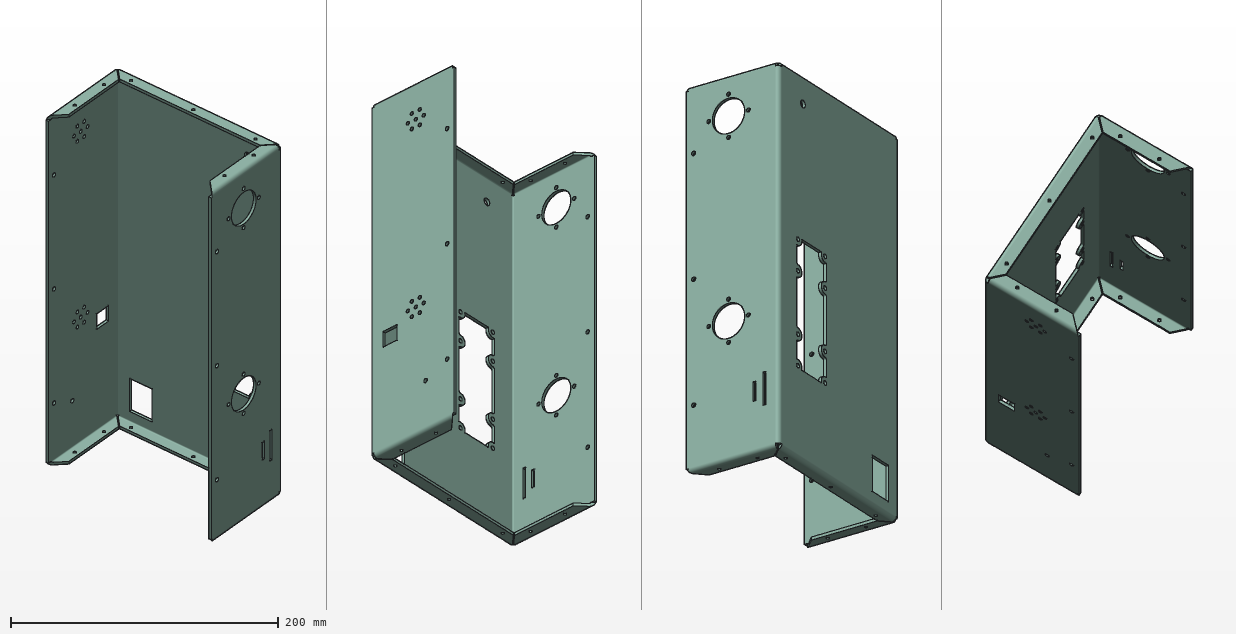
import cadquery as cq
import math

width = 160.0
depth = 84.0
height = 320.0
half_width = width / 2
half_depth = depth / 2
half_height = height / 2

thickness = 2.5
inner_bend_radius = 1.0
outer_bend_radius = inner_bend_radius + thickness
flange_width = 12.0
flange_setback = 1.0
miter_gap = 0.8

cut_reach = 2 * thickness

flange_hole_diameter = 2.45
flange_hole_inset = 7.7
back_flange_hole_pitch = 60.0
side_flange_hole_pitch = 34.5

cable_hole_diameter = 6.0
cable_hole_x = 48.3
cable_hole_z = 136.3
window_width = 21.8
window_height = 30.0
window_x = -55.0
window_z = -133.0
cutout_width = 39.5
cutout_height = 108.5
cutout_x = 36.8
cutout_z = -30.7
pad_radius = 5.0
pad_root_radius = 1.5
pad_hole_diameter = 3.5
pad_column_pitch = 36.0
middle_pad_offset = 26.2
end_pad_offset = 52.5

cover_hole_diameter = 3.5
cover_hole_inset = 6.7
cover_hole_pitch = 104.3
cover_hole_z = -0.5

speaker_y = -4.0
speaker_heights = (126.5, -43.5)
sound_hole_diameter = 3.0
sound_hole_pitch = 8.0
speaker_diameter = 29.0
speaker_screw_diameter = 3.2
speaker_screw_radius = 18.0

square_size = 14.0
square_y = 22.0
square_z = -58.0
button_hole_diameter = 3.5
button_y = -13.8
button_z = -114.5

slot_width = 2.5
slot_z = -108.0
long_slot_y = 28.5
long_slot_height = 27.5
short_slot_y = 19.5
short_slot_height = 16.0


def rounded_block(inset, bend_radius):
    """Block inset from the envelope except at the front, with all but its front edges rounded."""
    block = cq.Workplane("XY").box(width - 2 * inset, depth - inset, height - 2 * inset)
    block = block.translate((0, -inset / 2, 0))
    return block.edges("not <Y").fillet(bend_radius)


def drill(start, direction, diameter):
    """Cylinder through one panel, starting inside the enclosure."""
    cylinder = cq.Solid.makeCylinder(diameter / 2, 2 * cut_reach, cq.Vector(*start), cq.Vector(*direction))
    return cq.Workplane(cylinder)


def back_drill(x, z, diameter):
    return drill((x, half_depth - cut_reach, z), (0, 1, 0), diameter)


def wall_drill(side, y, z, diameter):
    """Hole cutter for the -X wall (side = -1) or the +X wall (side = 1)."""
    return drill((side * (half_width - cut_reach), y, z), (side, 0, 0), diameter)


def back_block(x, z, size_x, size_z):
    return cq.Workplane("XY").box(size_x, 2 * cut_reach, size_z).translate((x, half_depth, z))


def wall_block(side, y, z, size_y, size_z):
    return cq.Workplane("XY").box(2 * cut_reach, size_y, size_z).translate((side * half_width, y, z))


def ring_points(centre_y, centre_z, radius, count):
    """Evenly spaced (y, z) points on a circle, the first one towards +Y."""
    angles = [2 * math.pi * i / count for i in range(count)]
    return [(centre_y + radius * math.cos(a), centre_z + radius * math.sin(a)) for a in angles]


def flange_opening():
    """Opening between the flanges, widening at 45 degrees towards the front."""
    inner_x = half_width - flange_width
    start_y = -half_depth + flange_setback
    outline = [
        (-inner_x, half_depth - flange_width),
        (inner_x, half_depth - flange_width),
        (inner_x, start_y + flange_width),
        (half_width, start_y),
        (half_width, -half_depth),
        (-half_width, -half_depth),
        (-half_width, start_y),
        (-inner_x, start_y + flange_width),
    ]
    return cq.Workplane("XY").polyline(outline).close().extrude(outer_bend_radius)


def miter_slit(side):
    """Thin 45 degree slit between the back flange and a side flange."""
    length = 2 * math.sqrt(2) * flange_width
    slit = cq.Workplane("XY").box(length, miter_gap, outer_bend_radius, centered=(True, True, False))
    return slit.rotate((0, 0, 0), (0, 0, 1), side * 45).translate((side * half_width, half_depth, 0))


def corner_relief(side):
    """Square notch that keeps the bends from meeting at a back corner."""
    size = outer_bend_radius
    notch = cq.Workplane("XY").box(size, size, size, centered=(True, True, False))
    return notch.translate((side * (half_width - size / 2), half_depth - size / 2, 0))


def flange_holes():
    hole_x = half_width - flange_hole_inset
    hole_y = half_depth - flange_hole_inset
    points = [(i * back_flange_hole_pitch, hole_y) for i in (-1, 0, 1)]
    points += [(i * hole_x, j * side_flange_hole_pitch / 2) for i in (-1, 1) for j in (-1, 1)]
    return cq.Workplane("XY").pushPoints(points).circle(flange_hole_diameter / 2).extrude(outer_bend_radius)


def flange_cutter():
    """Everything removed from the top flanges."""
    cutter = flange_opening().union(flange_holes())
    for side in (-1, 1):
        cutter = cutter.union(miter_slit(side)).union(corner_relief(side))
    return cutter.translate((0, 0, half_height - outer_bend_radius))


def pad_cutout():
    """Rectangular cutter for the back panel that leaves a pad round each screw hole."""
    cutter = cq.Workplane("XY").box(cutout_width, 2 * cut_reach, cutout_height)
    middle_pad = cq.Workplane("XZ").circle(pad_radius).extrude(cut_reach, both=True)
    end_pad_size = 3 * pad_radius
    end_pad = cq.Workplane("XY").box(end_pad_size, 2 * cut_reach, end_pad_size).edges("|Y").fillet(pad_radius)
    end_pad_shift = end_pad_size / 2 - pad_radius
    for i in (-1, 1):
        for j in (-1, 1):
            x = i * pad_column_pitch / 2
            cutter = cutter.cut(middle_pad.translate((x, 0, j * middle_pad_offset)))
            end_pad_z = j * (end_pad_offset + end_pad_shift)
            cutter = cutter.cut(end_pad.translate((x + i * end_pad_shift, 0, end_pad_z)))
    root_z = middle_pad_offset + pad_radius
    tolerance = 0.3
    for i in (-1, 1):
        x = i * cutout_width / 2
        roots = cq.selectors.BoxSelector(
            (x - tolerance, -cut_reach, -root_z),
            (x + tolerance, cut_reach, root_z),
        )
        cutter = cutter.edges("|Y").edges(roots).fillet(pad_root_radius)
    return cutter.translate((cutout_x, half_depth, cutout_z))


result = rounded_block(0, outer_bend_radius).cut(rounded_block(thickness, inner_bend_radius))
top_cutter = flange_cutter()
result = result.cut(top_cutter).cut(top_cutter.mirror("XY"))

result = result.cut(back_drill(cable_hole_x, cable_hole_z, cable_hole_diameter))
result = result.cut(back_block(window_x, window_z, window_width, window_height))
result = result.cut(pad_cutout())
for column in (-1, 1):
    pad_x = cutout_x + column * pad_column_pitch / 2
    for offset in (-end_pad_offset, -middle_pad_offset, middle_pad_offset, end_pad_offset):
        result = result.cut(back_drill(pad_x, cutout_z + offset, pad_hole_diameter))

for side in (-1, 1):
    for row in (-1, 0, 1):
        hole_z = cover_hole_z + row * cover_hole_pitch
        result = result.cut(wall_drill(side, -half_depth + cover_hole_inset, hole_z, cover_hole_diameter))

for speaker_z in speaker_heights:
    result = result.cut(wall_drill(1, speaker_y, speaker_z, speaker_diameter))
    for y, z in ring_points(speaker_y, speaker_z, speaker_screw_radius, 4):
        result = result.cut(wall_drill(1, y, z, speaker_screw_diameter))
    result = result.cut(wall_drill(-1, speaker_y, speaker_z, sound_hole_diameter))
    for y, z in ring_points(speaker_y, speaker_z, sound_hole_pitch, 6):
        result = result.cut(wall_drill(-1, y, z, sound_hole_diameter))

result = result.cut(wall_block(-1, square_y, square_z, square_size, square_size))
result = result.cut(wall_drill(-1, button_y, button_z, button_hole_diameter))
result = result.cut(wall_block(1, long_slot_y, slot_z, slot_width, long_slot_height))
result = result.cut(wall_block(1, short_slot_y, slot_z, slot_width, short_slot_height))